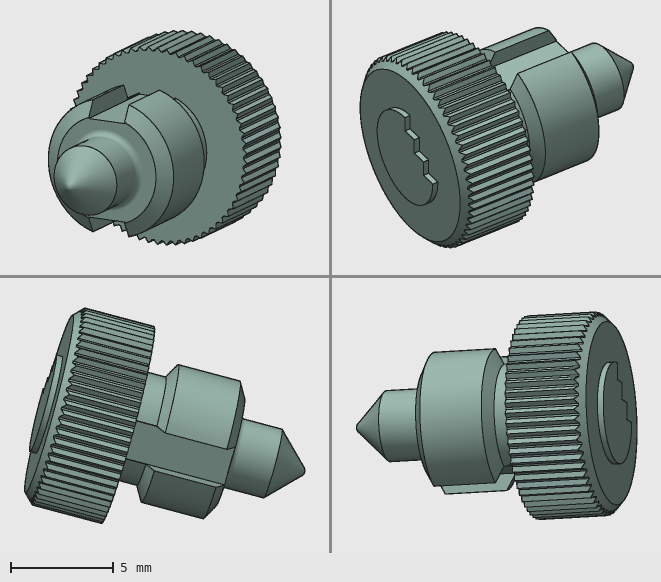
import cadquery as cq
import math

head_radius = 5.0
head_length = 4.0
head_chamfer = 0.5
tooth_count = 62
groove_depth = 0.2
groove_floor_width = 0.1

pad_radius = 2.5
pad_height = 0.3
pad_step_count = 3
pad_step = pad_radius / pad_step_count

neck_radius = 2.75
neck_length = 1.2
body_radius = 3.5
body_end = 5.2
body_cone_slope = math.radians(30)
body_cone_length = (body_radius - neck_radius) * math.tan(body_cone_slope)

slot_width = 2.0
slot_floor_distance = 2.5

pin_radius = 1.75
pin_length = 3.8
pin_root_fillet = 0.3
tip_radius = 0.3
point_half_angle = math.radians(45)


def polar(radius, angle):
    """Point at a radius, with the angle measured from the Z axis."""
    return radius * math.sin(angle), radius * math.cos(angle)


def make_head():
    """Round head with V grooves cut along its rim and a chamfered rear edge."""
    valley_radius = head_radius - groove_depth
    pitch = 2 * math.pi / tooth_count
    floor_half_angle = math.asin(groove_floor_width / 2 / valley_radius)
    points = []
    for tooth in range(tooth_count):
        crest_angle = tooth * pitch
        valley_angle = crest_angle + pitch / 2
        points.append(polar(head_radius, crest_angle))
        points.append(polar(valley_radius, valley_angle - floor_half_angle))
        points.append(polar(valley_radius, valley_angle + floor_half_angle))
    knurled = cq.Workplane("XZ").polyline(points).close().extrude(-head_length)
    chamfered_blank = (
        cq.Workplane("XZ").circle(head_radius).extrude(-head_length)
        .faces(">Y").chamfer(head_chamfer)
    )
    return knurled.intersect(chamfered_blank)


def make_pad():
    """Round pad whose -X +Z quadrant is cut away as a staircase."""
    pad = cq.Workplane("XZ", origin=(0, head_length, 0)).circle(pad_radius).extrude(-pad_height)
    staircase = cq.Workplane("XZ", origin=(0, head_length, 0)).moveTo(-pad_radius, 0)
    for step in range(pad_step_count):
        tread_x = -pad_radius + (step + 1) * pad_step
        staircase = staircase.lineTo(tread_x, step * pad_step)
        staircase = staircase.lineTo(tread_x, (step + 1) * pad_step)
    staircase = staircase.lineTo(-pad_radius, pad_radius).close().extrude(-pad_height)
    return pad.cut(staircase)


def make_shank():
    """Neck, double-coned body and rounded pin as one turned profile."""
    pin_end = body_end + pin_length
    tip_center = pin_end - tip_radius
    tangent_radius = tip_radius * math.cos(point_half_angle)
    tangent_depth = tip_center + tip_radius * math.sin(point_half_angle)
    cone_start = tangent_depth - (pin_radius - tangent_radius) / math.tan(point_half_angle)
    arc_angle = (math.pi / 2 - point_half_angle) / 2
    tip_arc_middle = (
        tip_radius * math.sin(arc_angle),
        -(tip_center + tip_radius * math.cos(arc_angle)),
    )
    fillet_reach = pin_root_fillet * (1 - math.sqrt(0.5))
    fillet_middle = (pin_radius + fillet_reach, -(body_end + fillet_reach))
    return (
        cq.Workplane("XY")
        .moveTo(0, 0)
        .lineTo(neck_radius, 0)
        .lineTo(neck_radius, -neck_length)
        .lineTo(body_radius, -(neck_length + body_cone_length))
        .lineTo(body_radius, -(body_end - body_cone_length))
        .lineTo(neck_radius, -body_end)
        .lineTo(pin_radius + pin_root_fillet, -body_end)
        .threePointArc(fillet_middle, (pin_radius, -(body_end + pin_root_fillet)))
        .lineTo(pin_radius, -cone_start)
        .lineTo(tangent_radius, -tangent_depth)
        .threePointArc(tip_arc_middle, (0, -pin_end))
        .close()
        .revolve(360, (0, 0, 0), (0, 1, 0))
    )


def make_slots():
    """Cutters for the opposed slots on the +Z and -Z sides of the shank."""
    slot_height = body_radius
    slot_center = slot_floor_distance + slot_height / 2
    return (
        cq.Workplane("XZ")
        .pushPoints([(0, slot_center), (0, -slot_center)])
        .rect(slot_width, slot_height)
        .extrude(body_end)
    )


shank = make_shank().cut(make_slots())
result = make_head().union(make_pad()).union(shank)